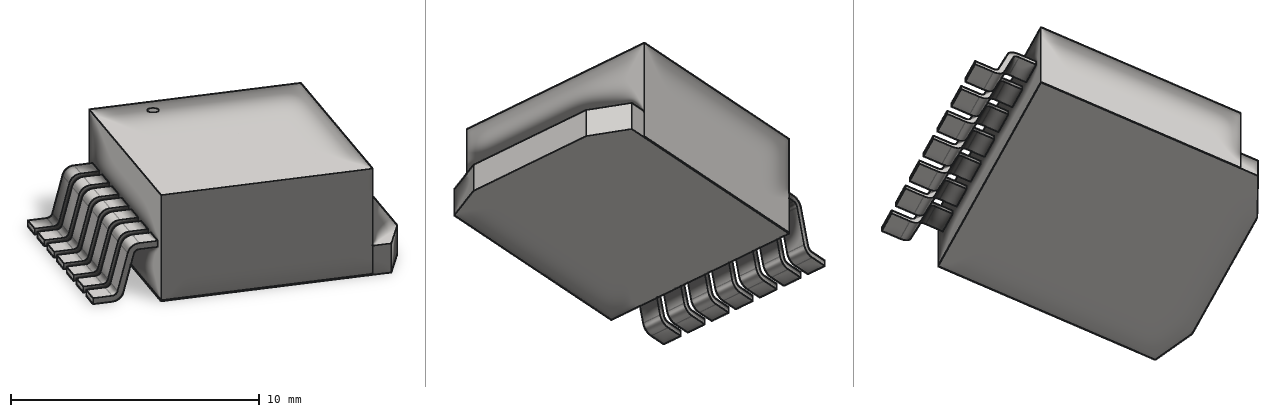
import cadquery as cq
import math

PACKAGE_WIDTH = 9.4

HOUSING_LENGTH = 8.95
HOUSING_HEIGHT = 4.58

TAB_HEEL_LENGTH = 1.59
TAB_HEEL_THICKNESS = 1.27
TAB_PAD_THICKNESS = 0.05
TAB_END_WIDTH = 5.95
TAB_CORNER_LENGTH = 0.81

MARKER_DIAMETER = 0.46
MARKER_DEPTH = 0.05
MARKER_FROM_SIDE = 0.89
MARKER_FROM_FRONT = 2.42

LEAD_COUNT = 7
LEAD_ROW_SPAN = 7.62
LEAD_WIDTH = 0.9
LEAD_THICKNESS = 0.27
LEAD_REACH = 2.73
LEAD_TOP = 2.42
LEAD_SHOULDER_LENGTH = 0.78
LEAD_INNER_RADIUS = 0.24
LEAD_BEND_ANGLE = 75

TAB_BOTTOM = -TAB_PAD_THICKNESS
TAB_END = HOUSING_LENGTH + TAB_HEEL_LENGTH
HALF_WIDTH = PACKAGE_WIDTH / 2


def make_marker():
    """Flat disc whose upper face is level with the housing top."""
    return (
        cq.Workplane("XY", origin=(0, 0, HOUSING_HEIGHT))
        .center(MARKER_FROM_SIDE - HALF_WIDTH, MARKER_FROM_FRONT)
        .circle(MARKER_DIAMETER / 2)
        .extrude(-MARKER_DEPTH)
    )


def make_housing(marker):
    """Plain rectangular block with a recess that the marker fills."""
    block = cq.Workplane("XY").box(
        PACKAGE_WIDTH, HOUSING_LENGTH, HOUSING_HEIGHT, centered=(True, False, False)
    )
    return block.cut(marker)


def make_tab():
    """Heel with two clipped rear corners, joined to the pad under the housing."""
    pad = cq.Workplane("XY", origin=(0, 0, TAB_BOTTOM)).box(
        PACKAGE_WIDTH, HOUSING_LENGTH, TAB_PAD_THICKNESS, centered=(True, False, False)
    )
    heel = (
        cq.Workplane("XY", origin=(0, 0, TAB_BOTTOM))
        .moveTo(-HALF_WIDTH, HOUSING_LENGTH)
        .lineTo(HALF_WIDTH, HOUSING_LENGTH)
        .lineTo(HALF_WIDTH, TAB_END - TAB_CORNER_LENGTH)
        .lineTo(TAB_END_WIDTH / 2, TAB_END)
        .lineTo(-TAB_END_WIDTH / 2, TAB_END)
        .lineTo(-HALF_WIDTH, TAB_END - TAB_CORNER_LENGTH)
        .close()
        .extrude(TAB_HEEL_THICKNESS)
    )
    return heel.union(pad)


def bend_point(center, radius, angle):
    """Point on a bend, with the angle in degrees measured from straight up towards -Y."""
    turn = math.radians(angle)
    return (center[0] - radius * math.sin(turn), center[1] + radius * math.cos(turn))


def make_lead(x):
    """Gull-wing lead centred on x: shoulder, sloping shank and foot with concentric bends."""
    inner = LEAD_INNER_RADIUS
    outer = inner + LEAD_THICKNESS
    angle = LEAD_BEND_ANGLE
    slope = math.radians(angle)

    upper = (-LEAD_SHOULDER_LENGTH, LEAD_TOP - outer)
    shank_height = LEAD_TOP - 2 * outer + (inner + outer) * math.cos(slope)
    shank_run = shank_height / math.tan(slope)
    lower = (upper[0] - (inner + outer) * math.sin(slope) - shank_run, outer)

    outline = (
        cq.Workplane("YZ", origin=(x - LEAD_WIDTH / 2, 0, 0))
        .moveTo(0, LEAD_TOP)
        .lineTo(*bend_point(upper, outer, 0))
        .threePointArc(bend_point(upper, outer, angle / 2), bend_point(upper, outer, angle))
        .lineTo(*bend_point(lower, -inner, angle))
        .threePointArc(bend_point(lower, -inner, angle / 2), bend_point(lower, -inner, 0))
        .lineTo(-LEAD_REACH, LEAD_THICKNESS)
        .lineTo(-LEAD_REACH, 0)
        .lineTo(*bend_point(lower, -outer, 0))
        .threePointArc(bend_point(lower, -outer, angle / 2), bend_point(lower, -outer, angle))
        .lineTo(*bend_point(upper, inner, angle))
        .threePointArc(bend_point(upper, inner, angle / 2), bend_point(upper, inner, 0))
        .lineTo(0, LEAD_TOP - LEAD_THICKNESS)
        .close()
    )
    return outline.extrude(LEAD_WIDTH)


marker = make_marker()
housing = make_housing(marker)
tab = make_tab()

lead_pitch = LEAD_ROW_SPAN / (LEAD_COUNT - 1)
leads = [make_lead(i * lead_pitch - LEAD_ROW_SPAN / 2) for i in range(LEAD_COUNT)]

result = cq.Compound.makeCompound(
    [housing.val(), tab.val(), marker.val(), *[lead.val() for lead in leads]]
)